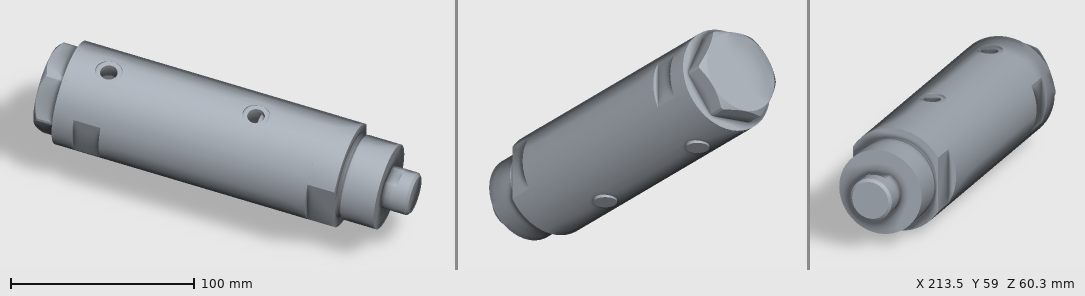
import cadquery as cq
import math


FLANGE_START = 13.0
HOUSING_START = 15.0
CAP_PLUG_END = 38.2
GLAND_SPIGOT_START = 122.5
HOUSING_END = 160.3
GLAND_COLLAR_END = 175.9
GLAND_END = 198.3
ROD_END = 213.5

OUTER_DIAMETER = 59.0
BORE_DIAMETER = 40.1
GLAND_SEAT_DIAMETER = 51.2
ROD_DIAMETER = 24.1

HEX_ACROSS_FLATS = 46.0
HEX_CORNER_DIAMETER = 52.3
HEX_FACE_DIAMETER = 45.7
HEX_CHAMFER_LENGTH = 3.0
CAP_ANGLE = 23.0

WRENCH_FLAT_START = 24.8
WRENCH_FLAT_END = 40.3
WRENCH_FLAT_WIDTH = 52.7
PORT_XS = (35.5, 121.0)
PORT_DIAMETER = 9.5
SPOT_FACE_DIAMETER = 15.0
SPOT_FACE_DEPTH = 1.0
BOSS_XS = (39.5, 124.2)
BOSS_DIAMETER = 12.8
BOSS_HEIGHT = 1.3

COLLAR_FLAT_WIDTH = 50.0
NOSE_DIAMETER = 48.2
RELIEF_DIAMETER = 45.7
RELIEF_END = 177.8
NOSE_CHAMFER = 1.3
RELIEF_CORNER = 1.0

ROD_FLAT_WIDTH = 21.1
ROD_FLAT_END = 205.0
ROD_CHAMFER = 1.5

OUTER_RADIUS = OUTER_DIAMETER / 2
ROD_RADIUS = ROD_DIAMETER / 2


def turned(profile):
    """Revolve a closed (x, radius) outline about the X axis."""
    return cq.Workplane("XZ").polyline(profile).close().revolve(360, (0, 0, 0), (1, 0, 0))


def cylinder(x_start, x_end, diameter):
    """Solid cylinder about the X axis."""
    radius = diameter / 2
    return turned([(x_start, 0), (x_end, 0), (x_end, radius), (x_start, radius)])


def slab(x_start, x_end, y_size, z_size):
    """Box centred on the X axis."""
    length = x_end - x_start
    return cq.Workplane("XY").box(length, y_size, z_size).translate((x_start + length / 2, 0, 0))


def upright(x, z_bottom, z_top, diameter):
    """Vertical cylinder standing at x on the plane Y = 0."""
    return cq.Workplane("XY", origin=(x, 0, z_bottom)).circle(diameter / 2).extrude(z_top - z_bottom)


def make_end_cap():
    corner_radius = HEX_CORNER_DIAMETER / 2
    hexagon = (
        cq.Workplane("YZ")
        .polygon(6, HEX_ACROSS_FLATS / math.cos(math.pi / 6))
        .extrude(FLANGE_START)
    )
    corner_trim = turned([
        (0, 0),
        (FLANGE_START, 0),
        (FLANGE_START, corner_radius),
        (HEX_CHAMFER_LENGTH, corner_radius),
        (0, HEX_FACE_DIAMETER / 2),
    ])
    head = hexagon.intersect(corner_trim)
    flange = cylinder(FLANGE_START, HOUSING_START, OUTER_DIAMETER)
    plug = cylinder(HOUSING_START, CAP_PLUG_END, BORE_DIAMETER)
    cap = head.union(flange).union(plug)
    return cap.rotate((0, 0, 0), (1, 0, 0), CAP_ANGLE - 90)


def make_housing():
    barrel = cylinder(HOUSING_START, HOUSING_END, OUTER_DIAMETER)

    for x in BOSS_XS:
        barrel = barrel.union(upright(x, -OUTER_RADIUS - BOSS_HEIGHT, 0, BOSS_DIAMETER))

    around = slab(WRENCH_FLAT_START, WRENCH_FLAT_END, OUTER_DIAMETER, OUTER_DIAMETER)
    between = slab(WRENCH_FLAT_START, WRENCH_FLAT_END, WRENCH_FLAT_WIDTH, OUTER_DIAMETER)
    barrel = barrel.cut(around.cut(between))

    for x in PORT_XS:
        barrel = barrel.cut(upright(x, 0, OUTER_DIAMETER, PORT_DIAMETER))
        spot_face_z = OUTER_RADIUS - SPOT_FACE_DEPTH
        barrel = barrel.cut(upright(x, spot_face_z, OUTER_DIAMETER, SPOT_FACE_DIAMETER))

    barrel = barrel.cut(cylinder(HOUSING_START, HOUSING_END, BORE_DIAMETER))
    return barrel.cut(cylinder(GLAND_SPIGOT_START, HOUSING_END, GLAND_SEAT_DIAMETER))


def make_gland():
    spigot = cylinder(GLAND_SPIGOT_START, HOUSING_END, GLAND_SEAT_DIAMETER)
    collar = cylinder(HOUSING_END, GLAND_COLLAR_END, OUTER_DIAMETER).intersect(
        slab(HOUSING_END, GLAND_COLLAR_END, COLLAR_FLAT_WIDTH, OUTER_DIAMETER)
    )
    nose_radius = NOSE_DIAMETER / 2
    relief_radius = RELIEF_DIAMETER / 2
    nose = turned([
        (GLAND_COLLAR_END, 0),
        (GLAND_END, 0),
        (GLAND_END, nose_radius),
        (RELIEF_END + NOSE_CHAMFER, nose_radius),
        (RELIEF_END, relief_radius),
        (GLAND_COLLAR_END + RELIEF_CORNER, relief_radius),
        (GLAND_COLLAR_END, relief_radius + RELIEF_CORNER),
    ])
    gland = spigot.union(collar).union(nose)
    return gland.cut(cylinder(GLAND_SPIGOT_START, GLAND_END, ROD_DIAMETER))


def make_rod():
    rod = turned([
        (CAP_PLUG_END, 0),
        (ROD_END, 0),
        (ROD_END, ROD_RADIUS - ROD_CHAMFER),
        (ROD_END - ROD_CHAMFER, ROD_RADIUS),
        (CAP_PLUG_END, ROD_RADIUS),
    ])
    around = slab(GLAND_END, ROD_FLAT_END, ROD_DIAMETER, ROD_DIAMETER)
    between = slab(GLAND_END, ROD_FLAT_END, ROD_DIAMETER, ROD_FLAT_WIDTH)
    return rod.cut(around.cut(between))


end_cap = make_end_cap()
housing = make_housing()
gland = make_gland()
rod = make_rod()

result = cq.Compound.makeCompound([end_cap.val(), housing.val(), gland.val(), rod.val()])